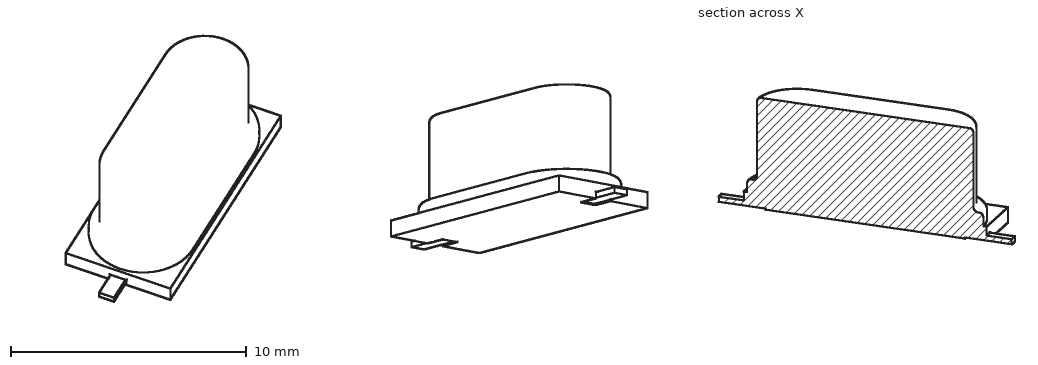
import cadquery as cq

BASE_WIDTH = 4.9
BASE_LENGTH = 11.1
BASE_HEIGHT = 0.7

END_CENTER_SPAN = 6.18
CAN_RADIUS = 1.865
CAN_OFFSET = 0.035
FLANGE_RADIUS = 2.315
FLANGE_HEIGHT = 0.6
OVERALL_HEIGHT = 5.08
EDGE_RADIUS = 0.2
CORNER_SEARCH_MARGIN = 0.02

OVERALL_LENGTH = 13.4
LEAD_WIDTH = 0.7
LEAD_THICKNESS = 0.25
CHANNEL_WIDTH = 0.8
CHANNEL_DEPTH = 0.3
CHANNEL_LENGTH = 1.0

FLANGE_TOP = BASE_HEIGHT + FLANGE_HEIGHT
LEAD_BOTTOM = CHANNEL_DEPTH - LEAD_THICKNESS


def block(width, length, height, bottom):
    """Box centred on the Z axis, standing on the level `bottom`."""
    return (
        cq.Workplane("XY", origin=(0, 0, bottom))
        .box(width, length, height, centered=(True, True, False))
    )


def stadium(radius, bottom, top):
    """Upright prism with round ends, its straight sides along Y."""
    return (
        cq.Workplane("XY", origin=(0, 0, bottom))
        .slot2D(END_CENTER_SPAN + 2 * radius, 2 * radius, angle=90)
        .extrude(top - bottom)
    )


def make_can():
    """Flange and can, rounded at both rims and in the corner between them."""
    flange = stadium(FLANGE_RADIUS, BASE_HEIGHT, FLANGE_TOP).faces(">Z").edges().fillet(EDGE_RADIUS)
    body = stadium(CAN_RADIUS, BASE_HEIGHT, OVERALL_HEIGHT).faces(">Z").edges().fillet(EDGE_RADIUS)

    search_x = CAN_RADIUS + CORNER_SEARCH_MARGIN
    search_y = END_CENTER_SPAN / 2 + search_x
    corner_low = (-search_x, -search_y, FLANGE_TOP - CORNER_SEARCH_MARGIN)
    corner_high = (search_x, search_y, FLANGE_TOP + CORNER_SEARCH_MARGIN)
    foot_corner = cq.selectors.BoxSelector(corner_low, corner_high, boundingbox=True)
    can = flange.union(body).edges(foot_corner).fillet(EDGE_RADIUS)
    return can.translate((CAN_OFFSET, 0, 0))


def make_base():
    """Plate with a blind lead channel cut into the underside at each end."""
    plate = block(BASE_WIDTH, BASE_LENGTH, BASE_HEIGHT, 0)
    channel_center = (BASE_LENGTH - CHANNEL_LENGTH) / 2
    for side in (-1, 1):
        channel = block(CHANNEL_WIDTH, CHANNEL_LENGTH, CHANNEL_DEPTH, 0)
        plate = plate.cut(channel.translate((0, side * channel_center, 0)))
    return plate


def make_leads():
    """Strip level with the channel ceilings, passing through the base and out at both ends."""
    return block(LEAD_WIDTH, OVERALL_LENGTH, LEAD_THICKNESS, LEAD_BOTTOM)


result = make_base().union(make_can()).union(make_leads())